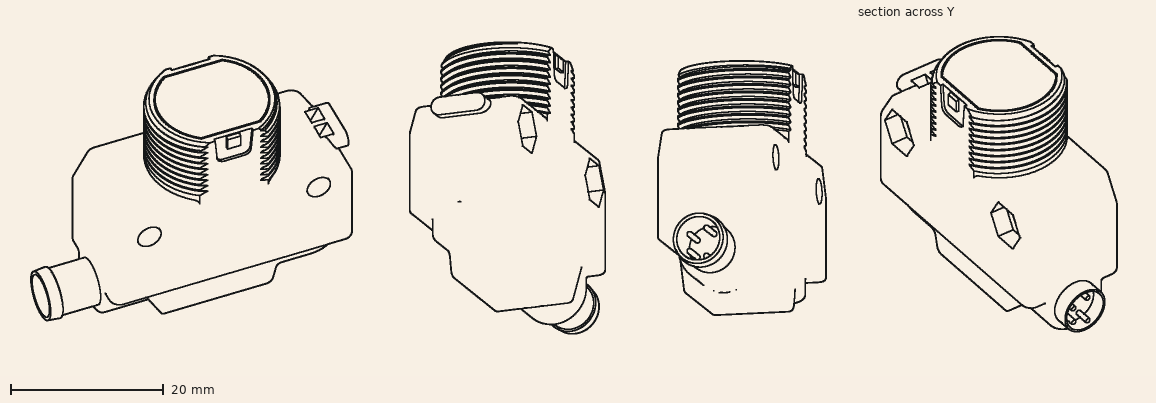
import cadquery as cq
import math


WIDTH = 15.0
LENGTH = 34.5
FRONT = -17.2
HOUSING_BOTTOM = 6.0
HOUSING_TOP = 21.05
END_BEVEL_HEIGHT = 3.75
END_BEVEL_ANGLE = 60.0
CORNER_RADIUS = 1.5
BEND_RADIUS = 0.6
RIM_RADIUS = 0.5

TOTAL_HEIGHT = 31.1
THREAD_RADIUS = 8.95
THREAD_DEPTH = 0.55
THREAD_PITCH = 1.0
GROOVE_WIDTH = 0.8
GROOVE_FLARE = 0.05
GROOVE_START = 0.46
NECK_CHAMFER = 0.7
NECK_CHAMFER_HEIGHT = 1.2

WINDOW_RADIUS = 7.6
WINDOW_HALF_WIDTH = 6.35
WINDOW_GAP = 0.15
WINDOW_GAP_DEPTH = 0.2

RECESS_TOP_WIDTH = 5.4
RECESS_BOTTOM_WIDTH = 4.7
RECESS_HEIGHT = 4.1
RECESS_DEPTH = 0.4
RECESS_CORNER = 1.0
CATCH_WIDTH = 1.85
CATCH_HEIGHT = 1.95
CATCH_DROP = 0.15
CATCH_RAMP = 0.25

HOLE_SPACING = 24.1
HOLE_HEIGHT = 17.2
HOLE_DIAMETER = 3.3
NUT_SIDES = 6
NUT_WIDTH = 5.7
NUT_DEPTH = 2.4

BAR_WIDTH = 7.6
BAR_HEIGHT = 2.45
BAR_OVERHANG = 0.57
BAR_FRONT = 13.5
POCKET_WIDTH = 2.25
POCKET_SPACING = 3.05
POCKET_BACK = 16.23
POCKET_LENGTH = 1.86
POCKET_ANGLE = 60.0

COVER_WIDTH = 11.15
COVER_STEP_HEIGHT = 3.08
COVER_STEP_TOP = 7.15
COVER_STEP_BOTTOM = 6.4
COVER_FRONT = -9.25
COVER_FRONT_ANGLE = 60.0
COVER_EDGE_RADIUS = 0.65
COVER_STEP_RADIUS = 1.2
COVER_SLOPE_RADIUS = 0.3

NOSE_RADIUS = 4.5
NOSE_BACK = -8.0
NOSE_OVERLAP = 3.0
ROOT_RADIUS = 0.25
AXIS_HEIGHT = 4.38
TUBE_RADIUS = 3.24
TUBE_TIP = -24.35
BARB_LENGTH = 1.68
BARB_RADIUS = 3.53
BARB_TIP_RADIUS = 3.36
BORE_RADIUS = 2.9
BORE_DEPTH = 7.0
PIN_RADIUS = 0.36
PIN_LENGTH = 4.3
PIN_RIGHT, PIN_RIGHT_HEIGHT = 0.47, 1.88
PIN_LEFT, PIN_LEFT_HEIGHT = -1.8, 1.13
PIN_CENTRES = (
    (PIN_RIGHT, PIN_RIGHT_HEIGHT),
    (PIN_LEFT, PIN_LEFT_HEIGHT),
    (PIN_LEFT, -PIN_LEFT_HEIGHT),
    (PIN_RIGHT, -PIN_RIGHT_HEIGHT),
)

OVERLAP = 1.0
TOUCH = 0.01

HALF_WIDTH = WIDTH / 2
BACK = FRONT + LENGTH


def box(x0, x1, y0, y1, z0, z1):
    return cq.Workplane("XY").box(x1 - x0, y1 - y0, z1 - z0, centered=False).translate((x0, y0, z0))


def edges_within(x_range, y_range, z_range):
    """Selector for edges whose centre lies within the given ranges."""
    low, high = zip(x_range, y_range, z_range)
    return cq.selectors.BoxSelector(low, high)


def slope_run(height, angle):
    """Horizontal run of a slope of the given height, with the angle measured from the horizontal."""
    return height / math.tan(math.radians(angle))


def front_plane(y):
    """Plane facing -Y, with X to the right, Z up and its origin on the connector axis."""
    return cq.Workplane("XZ", origin=(0, y, AXIS_HEIGHT))


def make_housing():
    bevel = slope_run(END_BEVEL_HEIGHT, END_BEVEL_ANGLE)
    shoulder = HOUSING_TOP - END_BEVEL_HEIGHT
    outline = [
        (FRONT, HOUSING_BOTTOM),
        (BACK, HOUSING_BOTTOM),
        (BACK, shoulder),
        (BACK - bevel, HOUSING_TOP),
        (FRONT + bevel, HOUSING_TOP),
        (FRONT, shoulder),
    ]
    housing = cq.Workplane("YZ").polyline(outline).close().extrude(HALF_WIDTH, both=True)
    bends = edges_within(
        (-WIDTH, WIDTH),
        (FRONT - TOUCH, BACK + TOUCH),
        (shoulder - TOUCH, shoulder + TOUCH),
    )
    housing = housing.edges("|X").edges(bends).fillet(BEND_RADIUS)
    ends = housing.faces("<X or >X").edges("not |Y")
    return ends.fillet(CORNER_RADIUS).faces(">Z").edges().fillet(RIM_RADIUS)


def make_nose():
    """U-shaped boss that carries the connector, running up into the housing."""
    length = NOSE_BACK - FRONT
    round_part = cq.Workplane("XZ", origin=(0, NOSE_BACK, NOSE_RADIUS)).circle(NOSE_RADIUS).extrude(length)
    top = HOUSING_BOTTOM + NOSE_OVERLAP
    return round_part.union(box(-NOSE_RADIUS, NOSE_RADIUS, FRONT, NOSE_BACK, NOSE_RADIUS, top))


def blend_nose(body):
    """Fill the corners along the nose where its sides meet the underside of the housing."""
    reach = NOSE_RADIUS + TOUCH
    roots = edges_within(
        (-reach, reach),
        (FRONT + TOUCH, NOSE_BACK),
        (HOUSING_BOTTOM - TOUCH, HOUSING_BOTTOM + TOUCH),
    )
    return body.edges("|Y").edges(roots).fillet(ROOT_RADIUS)


def round_lower_rim(body):
    """Round the housing's bottom edges and the front edge of the nose as one chain."""
    reach = NOSE_RADIUS + ROOT_RADIUS + TOUCH
    bottom_plane = edges_within(
        (-WIDTH, WIDTH),
        (FRONT - TOUCH, BACK + TOUCH),
        (HOUSING_BOTTOM - TOUCH, HOUSING_BOTTOM + TOUCH),
    )
    nose_roots = edges_within(
        (-reach, reach),
        (FRONT + TOUCH, NOSE_BACK + TOUCH),
        (0, HOUSING_TOP),
    )
    nose_face = edges_within(
        (-WIDTH, WIDTH),
        (FRONT - TOUCH, FRONT + TOUCH),
        (0, HOUSING_BOTTOM - TOUCH),
    )
    return body.edges((bottom_plane - nose_roots) + nose_face).fillet(RIM_RADIUS)


def make_cover():
    top = HOUSING_BOTTOM + OVERLAP
    front_run = slope_run(top, COVER_FRONT_ANGLE)
    outline = [
        (BACK, top),
        (BACK, COVER_STEP_HEIGHT),
        (COVER_STEP_TOP, COVER_STEP_HEIGHT),
        (COVER_STEP_BOTTOM, 0),
        (COVER_FRONT, 0),
        (COVER_FRONT - front_run, top),
    ]
    half = COVER_WIDTH / 2
    cover = cq.Workplane("YZ").polyline(outline).close().extrude(half, both=True)
    plan = (
        cq.Workplane("XY")
        .moveTo(-half, FRONT)
        .lineTo(half, FRONT)
        .lineTo(half, BACK - half)
        .threePointArc((0, BACK), (-half, BACK - half))
        .close()
        .extrude(top)
    )
    cover = cover.intersect(plan)
    step_foot = cq.selectors.NearestToPointSelector((0, COVER_STEP_BOTTOM, 0))
    cover = cover.edges("|X").edges(step_foot).fillet(COVER_STEP_RADIUS)
    step_head = cq.selectors.NearestToPointSelector((0, COVER_STEP_TOP, COVER_STEP_HEIGHT))
    cover = cover.edges("|X").edges(step_head).fillet(COVER_EDGE_RADIUS)
    lower_rim = edges_within(
        (-WIDTH, WIDTH),
        (COVER_FRONT + TOUCH, BACK + TOUCH),
        (-TOUCH, COVER_STEP_HEIGHT + TOUCH),
    )
    cover = cover.edges("not |X").edges(lower_rim).fillet(COVER_EDGE_RADIUS)
    return cover.faces("<Y").edges("<Z or (not |X)").fillet(COVER_SLOPE_RADIUS)


def blend_cover(body):
    """Fill the corner between the cover walls and the underside of the housing."""
    half = COVER_WIDTH / 2 + TOUCH
    slope_end = COVER_FRONT - slope_run(HOUSING_BOTTOM, COVER_FRONT_ANGLE)
    roots = edges_within(
        (-half, half),
        (slope_end - TOUCH, BACK - RIM_RADIUS - TOUCH),
        (HOUSING_BOTTOM - TOUCH, HOUSING_BOTTOM + TOUCH),
    )
    return body.edges(roots).fillet(ROOT_RADIUS)


def make_neck():
    base = HOUSING_TOP - OVERLAP
    neck = cq.Workplane("XY", origin=(0, 0, base)).circle(THREAD_RADIUS).extrude(TOTAL_HEIGHT - base)
    neck = neck.faces(">Z").chamfer(NECK_CHAMFER_HEIGHT, NECK_CHAMFER)
    start = HOUSING_TOP + GROOVE_START
    helix = cq.Wire.makeHelix(THREAD_PITCH, TOTAL_HEIGHT + THREAD_PITCH - start, THREAD_RADIUS)
    half = GROOVE_WIDTH / 2 * (1 + GROOVE_FLARE / THREAD_DEPTH)
    groove = (
        cq.Workplane("XZ")
        .moveTo(THREAD_RADIUS + GROOVE_FLARE, -half)
        .lineTo(THREAD_RADIUS - THREAD_DEPTH, 0)
        .lineTo(THREAD_RADIUS + GROOVE_FLARE, half)
        .close()
        .sweep(cq.Workplane(helix), isFrenet=True)
    )
    flats = box(-HALF_WIDTH, HALF_WIDTH, -2 * THREAD_RADIUS, 2 * THREAD_RADIUS, 0, 2 * TOTAL_HEIGHT)
    groove = groove.translate((0, 0, start)).intersect(flats)
    return neck.intersect(flats).cut(groove)


def window_plug(inset):
    radius = WINDOW_RADIUS - inset
    half = WINDOW_HALF_WIDTH - inset
    disc = cq.Workplane("XY", origin=(0, 0, TOTAL_HEIGHT)).circle(radius).extrude(-WINDOW_GAP_DEPTH)
    return disc.intersect(box(-half, half, -radius, radius, 0, TOTAL_HEIGHT))


def make_window_gap():
    return window_plug(0).cut(window_plug(WINDOW_GAP))


def make_snap_recess(side):
    floor = side * (HALF_WIDTH - RECESS_DEPTH)
    bottom = TOTAL_HEIGHT - RECESS_HEIGHT
    recess = (
        cq.Workplane("YZ", origin=(floor, 0, 0))
        .moveTo(-RECESS_TOP_WIDTH / 2, TOTAL_HEIGHT)
        .lineTo(-RECESS_BOTTOM_WIDTH / 2, bottom)
        .lineTo(RECESS_BOTTOM_WIDTH / 2, bottom)
        .lineTo(RECESS_TOP_WIDTH / 2, TOTAL_HEIGHT)
        .close()
        .extrude(side * RECESS_DEPTH)
    )
    recess = recess.edges("|X").edges("<Z").fillet(RECESS_CORNER)
    catch_top = TOTAL_HEIGHT - CATCH_DROP
    outer = side * HALF_WIDTH
    catch_bottom = catch_top - CATCH_HEIGHT
    profile = [
        (floor, catch_top),
        (outer, catch_top - CATCH_RAMP),
        (outer, catch_bottom),
        (floor, catch_bottom),
    ]
    catch = cq.Workplane("XZ").polyline(profile).close().extrude(CATCH_WIDTH / 2, both=True)
    return recess.cut(catch)


def make_mounting_cut(y):
    plane = cq.Workplane("YZ", origin=(-HALF_WIDTH, y, HOLE_HEIGHT))
    hole = plane.circle(HOLE_DIAMETER / 2).extrude(WIDTH)
    nut = plane.polygon(NUT_SIDES, NUT_WIDTH / math.cos(math.pi / NUT_SIDES)).extrude(NUT_DEPTH)
    return hole.union(nut)


def make_indicator_bar():
    return (
        cq.Workplane("XZ", origin=(0, BACK + BAR_OVERHANG, HOUSING_TOP - BAR_HEIGHT / 2))
        .slot2D(BAR_WIDTH, BAR_HEIGHT)
        .extrude(BACK + BAR_OVERHANG - BAR_FRONT)
    )


def make_indicator_pocket(x):
    front = POCKET_BACK - POCKET_LENGTH
    depth = POCKET_LENGTH * math.tan(math.radians(POCKET_ANGLE))
    outline = [(POCKET_BACK, HOUSING_TOP), (front, HOUSING_TOP), (front, HOUSING_TOP - depth)]
    return (
        cq.Workplane("YZ", origin=(x, 0, 0)).polyline(outline).close()
        .extrude(POCKET_WIDTH / 2, both=True)
    )


def make_tube():
    barb_start = TUBE_TIP + BARB_LENGTH
    tube = front_plane(FRONT + OVERLAP).circle(TUBE_RADIUS).extrude(FRONT + OVERLAP - barb_start)
    barb = (
        front_plane(barb_start).circle(BARB_RADIUS)
        .workplane(offset=BARB_LENGTH).circle(BARB_TIP_RADIUS).loft()
    )
    return tube.union(barb)


def make_bore():
    floor = TUBE_TIP + BORE_DEPTH
    bore = front_plane(floor).circle(BORE_RADIUS).extrude(BORE_DEPTH)
    pins = front_plane(floor).pushPoints(PIN_CENTRES).circle(PIN_RADIUS).extrude(PIN_LENGTH)
    domes = front_plane(floor - PIN_LENGTH).pushPoints(PIN_CENTRES).sphere(PIN_RADIUS)
    return bore.cut(pins).cut(domes)


body = blend_nose(make_housing().union(make_nose()))
body = round_lower_rim(body)
result = blend_cover(body.union(make_cover()))
result = result.union(make_indicator_bar())
for side in (-1, 1):
    result = result.cut(make_indicator_pocket(side * POCKET_SPACING / 2))
    result = result.cut(make_mounting_cut(side * HOLE_SPACING / 2))
result = result.union(make_neck())
for side in (-1, 1):
    result = result.cut(make_snap_recess(side))
result = result.cut(make_window_gap())
result = result.union(make_tube()).cut(make_bore())